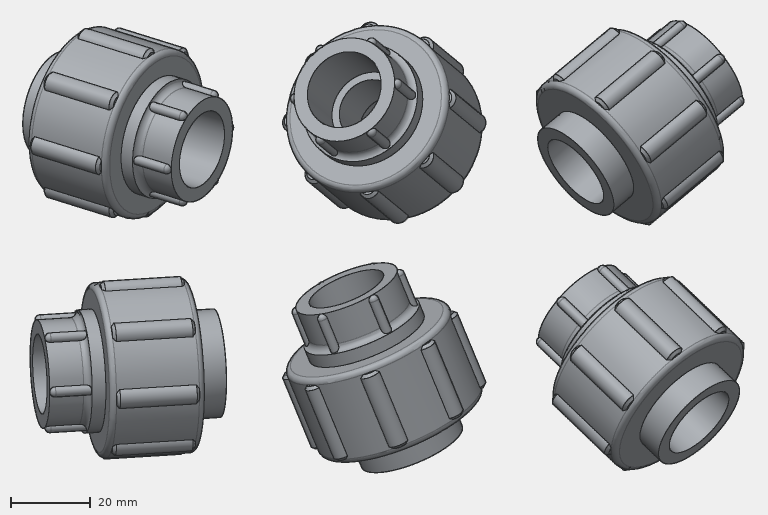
import cadquery as cq

total_length = 45.0
end_radius = 27.3 / 2
socket_radius = 20.0 / 2
socket_depth = 16.0
bore_radius = 16.0 / 2

nut_start = 6.95
nut_end = 31.05
nut_radius = 22.05
nut_edge_round = 1.5

collar_radius = 30.95 / 2
collar_end = 34.55
collar_fillet = collar_radius - end_radius

grip_count = 8
grip_radius = 2.8
grip_outer_reach = 23.5
grip_chamfer = 0.8

end_rib_count = 6
end_rib_radius = 1.3
end_rib_outer_reach = 15.05


def cylinder(start, end, radius):
    """Cylinder centred on the X axis between two X positions."""
    return cq.Workplane("YZ").workplane(offset=start).circle(radius).extrude(end - start)


def polar_copies(shape, count):
    """Join equally spaced copies of a shape turned about the X axis."""
    copies = shape
    for index in range(1, count):
        copies = copies.union(shape.rotate((0, 0, 0), (1, 0, 0), index * 360 / count))
    return copies


def make_nut():
    """Nut with rounded rims and round grips with chamfered ends."""
    body = cylinder(nut_start, nut_end, nut_radius).edges().fillet(nut_edge_round)
    grip = cylinder(nut_start + nut_edge_round, nut_end - nut_edge_round, grip_radius)
    grip = grip.faces("<X or >X").chamfer(grip_chamfer)
    grip = grip.translate((0, 0, grip_outer_reach - grip_radius))
    return body.union(polar_copies(grip, grip_count))


def make_collar():
    """Collar that runs into the ribbed end through a concave fillet."""
    fillet_end = collar_end + collar_fillet
    arc_offset = collar_fillet * (1 - 0.5 ** 0.5)
    return (
        cq.Workplane("XY")
        .moveTo(nut_start, 0)
        .lineTo(nut_start, collar_radius)
        .lineTo(collar_end, collar_radius)
        .threePointArc(
            (collar_end + arc_offset, end_radius + arc_offset),
            (fillet_end, end_radius),
        )
        .lineTo(fillet_end, 0)
        .close()
        .revolve(360, (0, 0, 0), (1, 0, 0))
    )


def make_end_ribs():
    """Round ribs on the +X end, each with a hemispherical tip."""
    tip_start = total_length - end_rib_radius
    rib = cylinder(collar_end, tip_start, end_rib_radius)
    tip = cq.Workplane("XY").sphere(end_rib_radius).translate((tip_start, 0, 0))
    rib = rib.union(tip).translate((0, end_rib_outer_reach - end_rib_radius, 0))
    return polar_copies(rib, end_rib_count)


outside = (
    cylinder(0, total_length, end_radius)
    .union(make_collar())
    .union(make_nut())
    .union(make_end_ribs())
)

result = (
    outside
    .cut(cylinder(0, total_length, bore_radius))
    .cut(cylinder(0, socket_depth, socket_radius))
    .cut(cylinder(total_length - socket_depth, total_length, socket_radius))
)